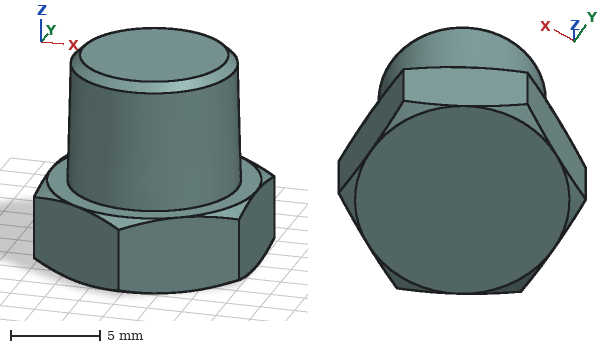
import cadquery as cq
import math

across_corners = 13.86
corner_radius = across_corners / 2
flat_radius = corner_radius * math.cos(math.radians(30))
head_height = 4.5
head_chamfer_angle = 25.0

total_height = 12.0
plug_base_radius = 4.86
plug_tip_radius = 4.68
tip_face_radius = 4.16
tip_chamfer_height = 0.5


def revolve_profile(points):
    """Turn a closed (radius, height) profile about the Z axis."""
    return cq.Workplane("XZ").polyline(points).close().revolve(360, (0, 0), (0, 1))


def make_head():
    """Hexagonal prism with corners on the Y axis, turned to cones at both ends."""
    prism = (
        cq.Workplane("XY")
        .polygon(6, across_corners)
        .extrude(head_height)
        .rotate((0, 0, 0), (0, 0, 1), 90)
    )
    cone_drop = (corner_radius - flat_radius) * math.tan(math.radians(head_chamfer_angle))
    envelope = revolve_profile([
        (0, 0),
        (flat_radius, 0),
        (corner_radius, cone_drop),
        (corner_radius, head_height - cone_drop),
        (flat_radius, head_height),
        (0, head_height),
    ])
    return prism.intersect(envelope)


def make_plug():
    """Tapered round plug with a chamfered tip, standing on the head."""
    return revolve_profile([
        (0, head_height),
        (plug_base_radius, head_height),
        (plug_tip_radius, total_height - tip_chamfer_height),
        (tip_face_radius, total_height),
        (0, total_height),
    ])


result = make_head().union(make_plug())